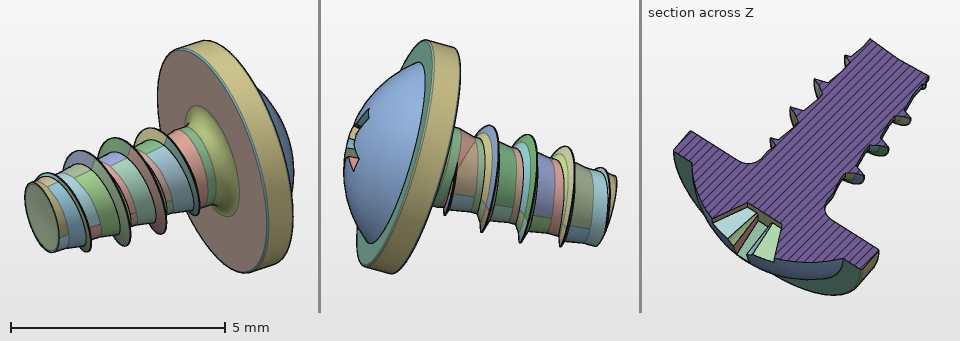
import math

import cadquery as cq


FLANGE_RADIUS = 2.75
FLANGE_THICKNESS = 0.7
FLANGE_EDGE_FILLET = 0.04
DOME_BASE_RADIUS = 2.2
DOME_HEIGHT = 1.1
HEAD_HEIGHT = FLANGE_THICKNESS + DOME_HEIGHT

RECESS_DEPTH = 1.0
WING_WIDTH = 0.38
WING_TOP_RADIUS = 0.97
WING_BOTTOM_RADIUS = 0.5
RECESS_CORE_TOP_RADIUS = 0.41
RECESS_CORE_BOTTOM_RADIUS = 0.3

SHANK_LENGTH = 4.5
NECK_RADIUS = 0.96
NECK_FILLET = 0.4
NECK_LENGTH = 0.62
NECK_TAPER_END = 1.01
CORE_RADIUS = 0.86
TIP_RIM_WIDTH = 0.05
TIP_DISH_DEPTH = 0.05

PITCH = 0.95
CREST_RADIUS = 1.25
CREST_WIDTH = 0.025
CREST_DEPTH_AT_MINUS_Z = 0.705
RUN_IN_END = 1.46
RUN_IN_SLOPE = 0.25
RUN_OUT_START = 3.1
RUN_OUT_SLOPE = 0.27
TIP_FLANK_WIDTH = 0.10
TIP_FLANK_HEIGHT = 0.305
HEAD_FLANK_WIDTH = 0.08
HEAD_FLANK_HEIGHT = 0.21
HEAD_FOOT_SLOPE = 0.70
THREAD_HEIGHT = 0.65

LAND_START_RADIUS = 0.96
LAND_LENGTH = 0.565
LAND_OVERRUN = 0.08
LAND_BASE_RADIUS = 0.6
LAND_SINK_START = 3.6
LAND_SINK_SLOPE = 0.1

HALF_TURNS = 10
CURVE_STEPS = 6


def crest_radius(depth):
    """Crest radius along the screw: rising run-in, full height, falling run-out."""
    run_in = CREST_RADIUS - RUN_IN_SLOPE * (RUN_IN_END - depth)
    run_out = CREST_RADIUS - RUN_OUT_SLOPE * (depth - RUN_OUT_START)
    return min(run_in, CREST_RADIUS, run_out)


def screw_point(radius, crest_depth, axial_offset):
    """Point on a helix that passes the -Z side at CREST_DEPTH_AT_MINUS_Z."""
    angle = 2 * math.pi * (crest_depth - CREST_DEPTH_AT_MINUS_Z) / PITCH
    x = radius * math.sin(angle)
    z = -radius * math.cos(angle)
    return cq.Vector(x, -(crest_depth + axial_offset), z)


def helical_ridge(profile, base_radius_at):
    """Solid bounded by ruled faces between the helices of the profile corners.

    The profile holds (axial offset, radial offset) corners; base_radius_at gives
    the radius that the radial offsets are added to at each depth. Each helix is
    split into half turns.
    """
    def corner_points(depth):
        base = base_radius_at(depth)
        return [screw_point(base + radial, depth, axial) for axial, radial in profile]

    half_turn = PITCH / 2
    start = CREST_DEPTH_AT_MINUS_Z - half_turn
    faces = []
    for turn in range(HALF_TURNS):
        first = start + turn * half_turn
        depths = [first + half_turn * i / CURVE_STEPS for i in range(CURVE_STEPS + 1)]
        corner_paths = zip(*[corner_points(depth) for depth in depths])
        helices = [cq.Edge.makeSpline(list(path)) for path in corner_paths]
        for i, helix in enumerate(helices):
            faces.append(cq.Face.makeRuledSurface(helices[i - 1], helix))

    for depth in (start, start + HALF_TURNS * half_turn):
        outline = cq.Wire.makePolygon(corner_points(depth), close=True)
        faces.append(cq.Face.makeFromWires(outline))

    solid = cq.Solid.makeSolid(cq.Shell.makeShell(faces).fix())
    return cq.Workplane(obj=solid.fix())


def along_axis(profile):
    """Revolve a half profile in the XY plane about the Y axis."""
    return profile.close().revolve(360, (0, 0), (0, 1))


def head():
    flange = cq.Workplane("XZ").circle(FLANGE_RADIUS).extrude(-FLANGE_THICKNESS)
    flange = flange.edges().fillet(FLANGE_EDGE_FILLET)

    dome_radius = (DOME_BASE_RADIUS**2 + DOME_HEIGHT**2) / (2 * DOME_HEIGHT)
    half_angle = math.asin(DOME_BASE_RADIUS / dome_radius) / 2
    arc_middle = (
        dome_radius * math.sin(half_angle),
        HEAD_HEIGHT - dome_radius * (1 - math.cos(half_angle)),
    )
    dome = along_axis(
        cq.Workplane("XY")
        .moveTo(0, FLANGE_THICKNESS / 2)
        .lineTo(DOME_BASE_RADIUS, FLANGE_THICKNESS / 2)
        .lineTo(DOME_BASE_RADIUS, FLANGE_THICKNESS)
        .threePointArc(arc_middle, (0, HEAD_HEIGHT))
    )
    return flange.union(dome)


def cross_recess():
    bottom = HEAD_HEIGHT - RECESS_DEPTH
    wing = (
        cq.Workplane("XY")
        .polyline([
            (-WING_BOTTOM_RADIUS, bottom),
            (WING_BOTTOM_RADIUS, bottom),
            (WING_TOP_RADIUS, HEAD_HEIGHT),
            (-WING_TOP_RADIUS, HEAD_HEIGHT),
        ])
        .close()
        .extrude(WING_WIDTH / 2, both=True)
    )
    core = along_axis(
        cq.Workplane("XY")
        .moveTo(0, bottom)
        .lineTo(RECESS_CORE_BOTTOM_RADIUS, bottom)
        .lineTo(RECESS_CORE_TOP_RADIUS, HEAD_HEIGHT)
        .lineTo(0, HEAD_HEIGHT)
    )
    crossing_wing = wing.rotate((0, 0, 0), (0, 1, 0), 90)
    return wing.union(crossing_wing).union(core)


def shank():
    """Plain core: filleted neck and taper to the core radius."""
    fillet_middle = NECK_FILLET * (1 - math.sqrt(0.5))
    return along_axis(
        cq.Workplane("XY")
        .moveTo(0, FLANGE_THICKNESS / 4)
        .lineTo(NECK_RADIUS + NECK_FILLET, FLANGE_THICKNESS / 4)
        .lineTo(NECK_RADIUS + NECK_FILLET, 0)
        .threePointArc(
            (NECK_RADIUS + fillet_middle, -fillet_middle),
            (NECK_RADIUS, -NECK_FILLET),
        )
        .lineTo(NECK_RADIUS, -NECK_LENGTH)
        .lineTo(CORE_RADIUS, -NECK_TAPER_END)
        .lineTo(CORE_RADIUS, -SHANK_LENGTH)
        .lineTo(0, -SHANK_LENGTH)
    )


def tip_dish():
    return along_axis(
        cq.Workplane("XY")
        .moveTo(0, -SHANK_LENGTH)
        .lineTo(CORE_RADIUS - TIP_RIM_WIDTH, -SHANK_LENGTH)
        .lineTo(0, TIP_DISH_DEPTH - SHANK_LENGTH)
    )


def thread_zone():
    """Cylinder from the neck to the tip that the thread is trimmed to."""
    start = cq.Workplane("XZ", origin=(0, -NECK_LENGTH, 0))
    return start.circle(FLANGE_RADIUS).extrude(SHANK_LENGTH - NECK_LENGTH)


def thread_ridge():
    half_crest = CREST_WIDTH / 2
    head_foot_width = HEAD_FOOT_SLOPE * (THREAD_HEIGHT - HEAD_FLANK_HEIGHT)
    tip_flank_run = TIP_FLANK_WIDTH * THREAD_HEIGHT / TIP_FLANK_HEIGHT
    profile = [
        (-half_crest - HEAD_FLANK_WIDTH - head_foot_width, -THREAD_HEIGHT),
        (-half_crest - HEAD_FLANK_WIDTH, -HEAD_FLANK_HEIGHT),
        (-half_crest, 0),
        (half_crest, 0),
        (half_crest + tip_flank_run, -THREAD_HEIGHT),
    ]
    return helical_ridge(profile, crest_radius)


def land_sink(depth):
    """Radial offset of the land: zero at first, then sinking towards the tip."""
    return -LAND_SINK_SLOPE * max(0, depth - LAND_SINK_START)


def sloping_land():
    slope = (LAND_START_RADIUS - CORE_RADIUS) / LAND_LENGTH
    land_end = LAND_LENGTH + LAND_OVERRUN
    profile = [
        (0, LAND_BASE_RADIUS),
        (0, LAND_START_RADIUS),
        (land_end, CORE_RADIUS - slope * LAND_OVERRUN),
        (land_end, LAND_BASE_RADIUS),
    ]
    return helical_ridge(profile, land_sink)


zone = thread_zone()
land = sloping_land().intersect(zone)
ridge = thread_ridge().intersect(zone)
screw = head().cut(cross_recess()).union(shank())
result = screw.union(land).union(ridge).cut(tip_dish())